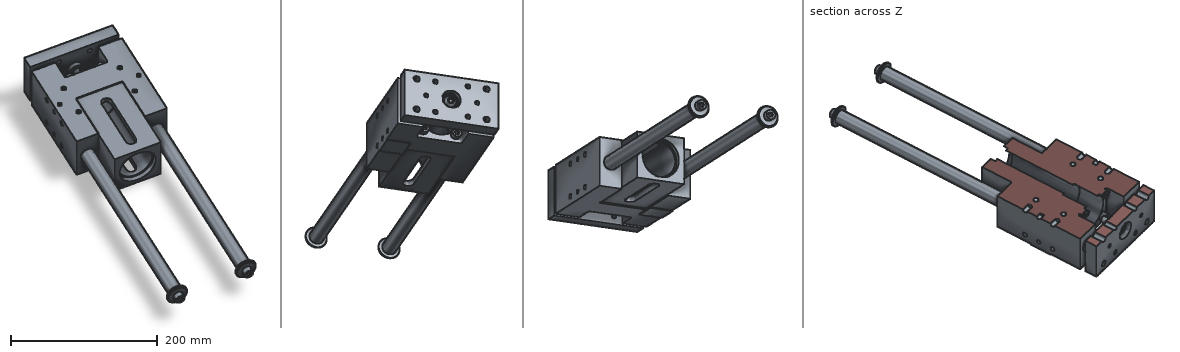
import cadquery as cq

overall_length = 456.0
housing_width = 137.0
height = 69.8
mid_z = height / 2
bolt_pitch = 46.5

plate_thickness = 18.5
plate_width = 134.0
corner_hole_pitch = 100.0
corner_hole_diameter = 8.5
inner_hole_diameter = 7.0
dowel_pitch = 73.0
plate_dowel_diameter = 6.0

coupling_bore_diameter = 26.0
coupling_bore_depth = 8.0
coupling_washer_diameter = 21.0
coupling_washer_thickness = 1.0
coupling_head_diameter = 17.5
coupling_crown_diameter = 9.0
coupling_head_height = 3.5
coupling_socket_size = 7.0
coupling_socket_depth = 2.0
collar_diameter = 21.0
collar_length = 7.0
stud_diameter = 10.0
stud_reach = 19.0

rod_pitch = 104.0
rod_diameter = 20.0
stop_diameter = 30.0
stop_thickness = 3.5
stop_chamfer = 1.5

cap_diameter = 13.0
cap_height = 8.0
cap_socket_size = 7.0
cap_socket_depth = 4.0

housing_start = 26.5
housing_length = 140.0
housing_end = housing_start + housing_length
notch_depth = 30.0
notch_width = 64.8
notch_corner_radius = 3.0
notch_wall = housing_start + notch_depth

mount_center_x = 96.0
mount_hole_diameter = 7.0
mount_hole_depth = 12.0
drill_point_height = 2.0
mount_row_pitch = 85.5
locating_hole_diameter = 6.0
locating_hole_depth = 8.0
locating_row_pitch = 119.5

block_start = 96.0
block_end = 216.0
block_length = block_end - block_start
block_width = 70.0
block_height = 65.5
spigot_bore_diameter = 52.5
cylinder_bore_diameter = 50.0
rear_bore_diameter = 54.5
rear_bore_depth = 7.5
slot_length = 90.5
slot_width = 15.0
slot_center_x = 157.0

pad_length = 33.7
pad_thickness = 1.5
pad_start = 75.5


def box(x_start, length, width, tall, y_center=0.0, z_center=mid_z):
    """Block that starts at x_start and is centred on the given Y and Z."""
    solid = cq.Workplane("XY").box(length, width, tall, centered=(False, True, True))
    return solid.translate((x_start, y_center, z_center))


def across(x_start):
    """Workplane facing +X at x_start, with its origin on the central axis."""
    return cq.Workplane("YZ", origin=(x_start, 0, mid_z))


def rod_along_x(x_start, length, diameter, y_center=0.0, z_offset=0.0):
    return across(x_start).center(y_center, z_offset).circle(diameter / 2).extrude(length)


def hex_along_x(x_start, length, corner_size, y_center=0.0, z_offset=0.0):
    return across(x_start).center(y_center, z_offset).polygon(6, corner_size).extrude(length)


def pair(pitch):
    """The two offsets of a symmetric pair."""
    return (-pitch / 2, pitch / 2)


def end_plate():
    plate = box(0, plate_thickness, plate_width, height)
    patterns = (
        (corner_hole_pitch, bolt_pitch, corner_hole_diameter),
        (bolt_pitch, bolt_pitch, inner_hole_diameter),
    )
    for y_pitch, z_pitch, diameter in patterns:
        holes = across(0).rarray(y_pitch, z_pitch, 2, 2).circle(diameter / 2)
        plate = plate.cut(holes.extrude(plate_thickness))
    for y in pair(dowel_pitch):
        plate = plate.cut(rod_along_x(0, plate_thickness, plate_dowel_diameter, y))
    return plate.cut(rod_along_x(0, coupling_bore_depth, coupling_bore_diameter))


def coupling():
    """Tapered head and washer in the plate bore, with the collar and stud behind the plate."""
    washer_start = coupling_bore_depth - coupling_washer_thickness
    washer = rod_along_x(washer_start, coupling_washer_thickness, coupling_washer_diameter)
    head_front = washer_start - coupling_head_height
    head = (
        across(head_front)
        .circle(coupling_crown_diameter / 2)
        .workplane(offset=coupling_head_height)
        .circle(coupling_head_diameter / 2)
        .loft(ruled=True)
    )
    head = head.cut(hex_along_x(head_front, coupling_socket_depth, coupling_socket_size))
    collar = rod_along_x(plate_thickness, collar_length, collar_diameter)
    stud = rod_along_x(plate_thickness, stud_reach, stud_diameter)
    return head.union(washer).union(collar).union(stud)


def guide_rod(y):
    """Rod with its chamfered stop washer and the cap screw that holds it."""
    stop_end = overall_length - cap_height
    stop_start = stop_end - stop_thickness
    rod = rod_along_x(plate_thickness, stop_start - plate_thickness, rod_diameter, y)
    stop = rod_along_x(stop_start, stop_thickness, stop_diameter, y).faces(">X").chamfer(stop_chamfer)
    cap = rod_along_x(stop_end, cap_height, cap_diameter, y)
    socket_start = overall_length - cap_socket_depth
    cap = cap.cut(hex_along_x(socket_start, cap_socket_depth, cap_socket_size, y))
    return rod.union(stop).union(cap)


def make_carriage():
    """Moving body: end plate, coupling and both guide rods."""
    carriage = end_plate().union(coupling())
    for y in pair(rod_pitch):
        carriage = carriage.union(guide_rod(y))
    return carriage


def notched_shell():
    """Housing block with the front notch and the rear pocket for the cylinder block."""
    shell = box(housing_start, housing_length, housing_width, height)
    notch = box(housing_start, notch_depth, notch_width, height)
    notch = notch.edges("|Z and >X").fillet(notch_corner_radius)
    pocket = box(block_start, housing_end - block_start, block_width, height)
    return shell.cut(notch).cut(pocket)


def cylinder_block():
    """Slotted block with a wider bore at its open rear end."""
    block = box(block_start, block_length, block_width, block_height)
    slot = (
        cq.Workplane("XY", origin=(slot_center_x, 0, 0))
        .slot2D(slot_length, slot_width)
        .extrude(height)
    )
    rear_bore = rod_along_x(block_end - rear_bore_depth, rear_bore_depth, rear_bore_diameter)
    bore = rod_along_x(block_start, block_length, cylinder_bore_diameter)
    return block.cut(slot).cut(bore).cut(rear_bore)


def mounting_hole():
    """Hole along -Z from the origin that ends in a conical drill point."""
    radius = mount_hole_diameter / 2
    profile = [
        (0, 0),
        (radius, 0),
        (radius, -mount_hole_depth),
        (0, -mount_hole_depth - drill_point_height),
    ]
    return cq.Workplane("XZ").polyline(profile).close().revolve(360, (0, 0), (0, 1)).val()


def drill_mounting_holes(body):
    """Pointed mounting holes and flat locating holes in the top and both sides."""
    mount = mounting_hole()
    faces = (
        (height / 2, mount_row_pitch, locating_row_pitch, (0,)),
        (housing_width / 2, bolt_pitch, bolt_pitch, (90, -90)),
    )
    for face_distance, mount_pitch, locator_pitch, turns in faces:
        for turn in turns:
            plane = cq.Workplane("XY", origin=(mount_center_x, 0, mid_z))
            plane = plane.transformed(rotate=(turn, 0, 0)).workplane(offset=face_distance)
            mounts = plane.rarray(bolt_pitch, mount_pitch, 2, 2).eachpoint(mount, useLocalCoordinates=True)
            locators = plane.rarray(4.5, locator_pitch, 1, 2).circle(locating_hole_diameter / 2)
            body = body.cut(mounts).cut(locators.extrude(-locating_hole_depth))
    return body


def notch_screw(y, z_offset):
    """Cap screw head standing on the back wall of the notch."""
    head_start = notch_wall - cap_height
    head = rod_along_x(head_start, cap_height, cap_diameter, y, z_offset)
    return head.cut(hex_along_x(head_start, cap_socket_depth, cap_socket_size, y, z_offset))


def make_housing():
    """Fixed body: notched shell, cylinder block, notch screws and bottom pad."""
    spigot_bore = rod_along_x(notch_wall, block_start - notch_wall, spigot_bore_diameter)
    housing = notched_shell().cut(spigot_bore).union(cylinder_block())
    for y in pair(rod_pitch):
        housing = housing.cut(rod_along_x(housing_start, housing_length, rod_diameter, y))
    housing = drill_mounting_holes(housing)
    for y in pair(bolt_pitch):
        for z_offset in pair(bolt_pitch):
            housing = housing.union(notch_screw(y, z_offset))
    pad_y = (housing_width - pad_length) / 2
    return housing.union(box(pad_start, pad_length, pad_length, pad_thickness, pad_y, -pad_thickness / 2))


carriage = make_carriage()
housing = make_housing()

result = cq.Compound.makeCompound([carriage.val(), housing.val()])